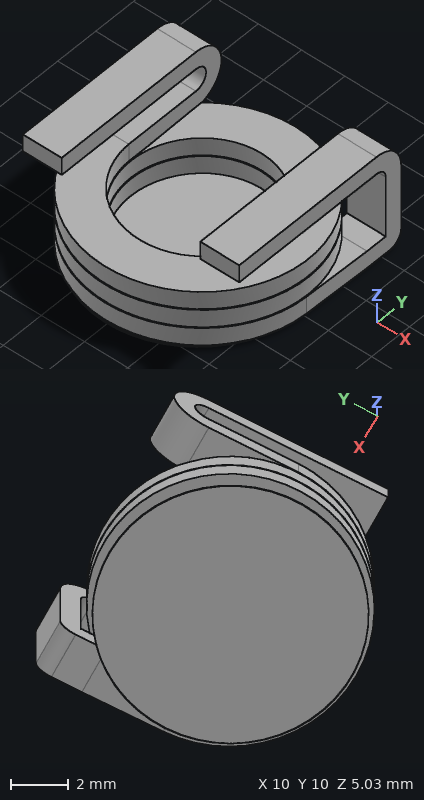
import cadquery as cq

coil_diameter = 10.0
wire_width = 1.8
wire_thickness = 0.82

coil_pitch = 0.87
coil_turns = 2.5

overall_height = 5.03
terminal_tip_y = -3.54
hook_centre_y = 3.54
hook_inner_radius = 0.53
riser_top_inner_radius = 0.48
riser_foot_radius = 0.6
riser_foot_start_y = 3.2

disc_diameter = 9.6
disc_thickness = 0.06
seat_overlap = 0.01

coil_radius = coil_diameter / 2
wire_radius = coil_radius - wire_width / 2
coil_rise = coil_pitch * coil_turns
hook_outer_radius = hook_inner_radius + wire_thickness
coil_top_end_z = overall_height - 2 * hook_outer_radius
coil_bottom_end_z = coil_top_end_z - coil_rise
terminal_under_z = overall_height - wire_thickness


def make_disc():
    return cq.Workplane("XY").circle(disc_diameter / 2).extrude(disc_thickness)


def make_coil():
    """Rectangular wire wound from the +X side up to the -X side."""
    middle_z = coil_bottom_end_z + wire_thickness / 2
    helix = cq.Wire.makeHelix(
        coil_pitch, coil_rise, wire_radius, center=cq.Vector(0, 0, middle_z), lefthand=True
    )
    section = cq.Workplane("XZ").center(wire_radius, middle_z).rect(wire_width, wire_thickness)
    return section.sweep(cq.Workplane(helix), isFrenet=True)


def make_hook():
    """U-shaped terminal carrying on from the upper coil end on the -X side."""
    bend_z = overall_height - hook_outer_radius
    outline = (
        cq.Workplane("YZ", origin=(-coil_radius, 0, 0))
        .moveTo(0, coil_top_end_z)
        .lineTo(hook_centre_y, coil_top_end_z)
        .threePointArc((hook_centre_y + hook_outer_radius, bend_z), (hook_centre_y, overall_height))
        .lineTo(terminal_tip_y, overall_height)
        .lineTo(terminal_tip_y, terminal_under_z)
        .lineTo(hook_centre_y, terminal_under_z)
        .threePointArc(
            (hook_centre_y + hook_inner_radius, bend_z),
            (hook_centre_y, coil_top_end_z + wire_thickness),
        )
        .lineTo(0, coil_top_end_z + wire_thickness)
        .close()
    )
    return outline.extrude(wire_width)


def make_riser():
    """C-shaped terminal from the lower coil end, resting on the disc on the +X side."""
    foot_z = disc_thickness - seat_overlap
    riser_inner_y = coil_radius - wire_thickness
    riser_top_outer_radius = riser_top_inner_radius + wire_thickness
    foot_top_z = foot_z + wire_thickness
    outline = (
        cq.Workplane("YZ", origin=(coil_radius - wire_width, 0, 0))
        .moveTo(0, coil_bottom_end_z)
        .lineTo(riser_foot_start_y, foot_z)
        .lineTo(coil_radius - riser_foot_radius, foot_z)
        .radiusArc((coil_radius, foot_z + riser_foot_radius), -riser_foot_radius)
        .lineTo(coil_radius, overall_height - riser_top_outer_radius)
        .radiusArc((coil_radius - riser_top_outer_radius, overall_height), -riser_top_outer_radius)
        .lineTo(terminal_tip_y, overall_height)
        .lineTo(terminal_tip_y, terminal_under_z)
        .lineTo(riser_inner_y - riser_top_inner_radius, terminal_under_z)
        .radiusArc((riser_inner_y, terminal_under_z - riser_top_inner_radius), riser_top_inner_radius)
        .lineTo(riser_inner_y, foot_top_z)
        .lineTo(riser_foot_start_y, foot_top_z)
        .lineTo(0, coil_bottom_end_z + wire_thickness)
        .close()
    )
    return outline.extrude(wire_width)


result = make_coil().union(make_hook()).union(make_riser()).union(make_disc())